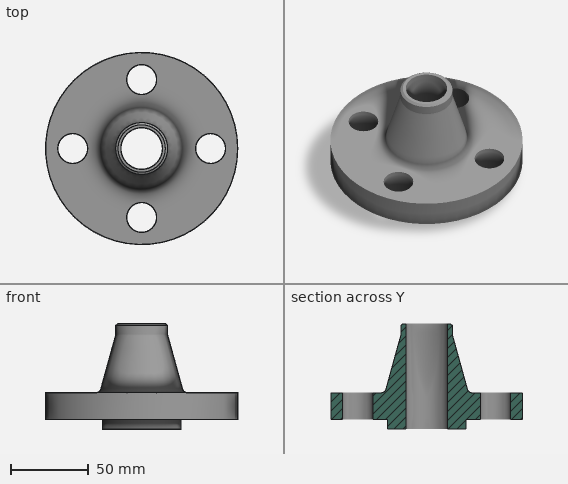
import cadquery as cq

flange_diameter = 123.9
flange_thickness = 17.5
total_height = 68.3

face_diameter = 50.8
face_height = 6.3

hub_base_diameter = 54.0
hub_fillet_radius = 3.1
neck_diameter = 33.5
neck_length = 7.3
bevel_width = 1.5
bevel_height = 1.2
bore_diameter = 26.6

bolt_count = 4
bolt_circle_diameter = 88.9
bolt_hole_diameter = 19.1

plate_bottom = face_height
plate_top = plate_bottom + flange_thickness
neck_start = total_height - neck_length


def make_body():
    """Revolve the solid half section about the Z axis."""
    profile = (
        cq.Workplane("XZ")
        .moveTo(0, 0)
        .lineTo(face_diameter / 2, 0)
        .lineTo(face_diameter / 2, plate_bottom)
        .lineTo(flange_diameter / 2, plate_bottom)
        .lineTo(flange_diameter / 2, plate_top)
        .lineTo(hub_base_diameter / 2, plate_top)
        .lineTo(neck_diameter / 2, neck_start)
        .lineTo(neck_diameter / 2, total_height - bevel_height)
        .lineTo(neck_diameter / 2 - bevel_width, total_height)
        .lineTo(0, total_height)
        .close()
    )
    return profile.revolve(360, (0, 0, 0), (0, 1, 0))


def fillet_hub_root(body):
    """Round the inner corner between the hub taper and the plate."""
    root_radius = hub_base_diameter / 2
    margin = 0.1
    root_edge = cq.selectors.BoxSelector(
        (-root_radius - margin, -root_radius - margin, plate_top - margin),
        (root_radius + margin, root_radius + margin, plate_top + margin),
        boundingbox=True,
    )
    return body.edges(root_edge).fillet(hub_fillet_radius)


def make_bore():
    return cq.Workplane("XY").circle(bore_diameter / 2).extrude(total_height)


def make_bolt_holes():
    """Through holes on the bolt circle, one on each axis direction."""
    return (
        cq.Workplane("XY", origin=(0, 0, plate_bottom))
        .polarArray(bolt_circle_diameter / 2, 0, 360, bolt_count)
        .circle(bolt_hole_diameter / 2)
        .extrude(flange_thickness)
    )


body = fillet_hub_root(make_body())
result = body.cut(make_bore()).cut(make_bolt_holes())